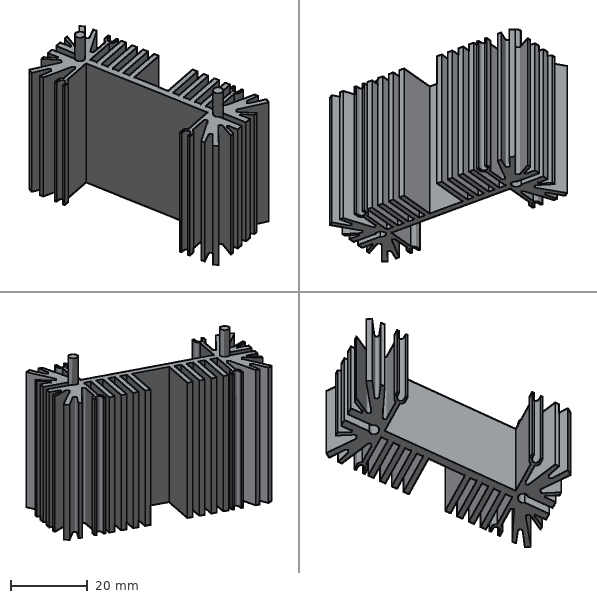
import cadquery as cq
import math

body_width = 59.94
body_depth = 24.89
body_height = 38.61
half_width = body_width / 2
half_depth = body_depth / 2

web_thickness = 2.06
fin_thickness = 1.57
fin_pitch = 3.44
fins_per_side = 4
first_fin_x = 6.10

stem_x = 19.75
stem_thickness = 1.16
stem_inner_x = stem_x - stem_thickness / 2
stem_outer_x = stem_x + stem_thickness / 2

fork_width = 3.16
fork_base_y = 9.59
fork_slot_width = 2.0
fork_slot_floor_y = 10.48

pin_x = 21.82
pin_diameter = 2.68
pin_length = 15.24
pin_exposed = 7.62
side_slot_width = 1.87

slender_fin_inner_tip = (24.93, half_depth)
slender_fin_outer_tip = (26.05, half_depth)
thick_fin_inner_tip = (28.60, half_depth)
thick_fin_outer_tip = (half_width, 11.60)
thin_fin_upper_tip = (half_width, 6.03)
thin_fin_lower_tip = (half_width, 4.91)
flat_fin_top_y = 2.83
small_notch_x = 26.80
small_notch_top_y = 3.32

stem_notch_radius = 0.56
stem_notch_centre = (stem_outer_x + stem_notch_radius, 4.50)
upper_notch_radius = 0.60
upper_notch_centre = (25.48, 8.88)
side_notch_radius = 0.66
side_notch_centre = (25.50, 4.23)


def tangent_point(tip, centre, radius, side):
    """Point where a line from tip touches a circle; side is +1 or -1 and picks the line."""
    dx = tip[0] - centre[0]
    dy = tip[1] - centre[1]
    angle = math.atan2(dy, dx) + side * math.acos(radius / math.hypot(dx, dy))
    return (centre[0] + radius * math.cos(angle), centre[1] + radius * math.sin(angle))


def cut_notch(outline, first_tip, last_tip, centre, radius):
    """Continue the outline from first_tip round the notch floor to last_tip."""
    start = tangent_point(first_tip, centre, radius, 1)
    end = tangent_point(last_tip, centre, radius, -1)
    start_angle = math.atan2(start[1] - centre[1], start[0] - centre[0])
    end_angle = math.atan2(end[1] - centre[1], end[0] - centre[0])
    sweep = (end_angle - start_angle) % math.tau
    middle_angle = start_angle + sweep / 2
    middle = (
        centre[0] + radius * math.cos(middle_angle),
        centre[1] + radius * math.sin(middle_angle),
    )
    return outline.lineTo(*start).threePointArc(middle, end).lineTo(*last_tip)


def corner_quarter():
    """Thin wall and fan of corner fins in the x > 0, y > 0 quarter."""
    stem_outer_end = (stem_outer_x, fork_slot_floor_y)
    outline = cq.Workplane("XY").moveTo(stem_inner_x, 0)
    outline = outline.lineTo(stem_inner_x, fork_slot_floor_y).lineTo(*stem_outer_end)
    outline = cut_notch(
        outline, stem_outer_end, slender_fin_inner_tip, stem_notch_centre, stem_notch_radius
    )
    outline = outline.lineTo(*slender_fin_outer_tip)
    outline = cut_notch(
        outline, slender_fin_outer_tip, thick_fin_inner_tip, upper_notch_centre, upper_notch_radius
    )
    outline = outline.lineTo(*thick_fin_outer_tip)
    outline = cut_notch(
        outline, thick_fin_outer_tip, thin_fin_upper_tip, side_notch_centre, side_notch_radius
    )
    outline = (
        outline.lineTo(*thin_fin_lower_tip)
        .lineTo(small_notch_x, small_notch_top_y)
        .lineTo(small_notch_x, flat_fin_top_y)
        .lineTo(half_width, flat_fin_top_y)
        .lineTo(half_width, side_slot_width / 2)
        .lineTo(pin_x, side_slot_width / 2)
        .lineTo(pin_x, 0)
        .close()
    )
    return outline.extrude(body_height)


def round_ended_block(width, base_y):
    """Block from base_y to the outer face, ending in a half circle at base_y."""
    radius = width / 2
    centre_y = base_y + radius
    return (
        cq.Workplane("XY")
        .moveTo(stem_x - radius, half_depth)
        .lineTo(stem_x - radius, centre_y)
        .threePointArc((stem_x, base_y), (stem_x + radius, centre_y))
        .lineTo(stem_x + radius, half_depth)
        .close()
        .extrude(body_height)
    )


def fork():
    """U-shaped fork at the end of the thin wall in the x > 0, y > 0 quarter."""
    slot = round_ended_block(fork_slot_width, fork_slot_floor_y)
    return round_ended_block(fork_width, fork_base_y).cut(slot)


def web():
    """Central plate joining the two ends."""
    return cq.Workplane("XY").box(
        2 * stem_x, web_thickness, body_height, centered=(True, True, False)
    )


def straight_fins():
    """Two groups of parallel fins standing on the back of the web."""
    offsets = [first_fin_x + i * fin_pitch for i in range(fins_per_side)]
    centres = [(side * offset, half_depth / 2) for side in (-1, 1) for offset in offsets]
    return (
        cq.Workplane("XY").pushPoints(centres).rect(fin_thickness, half_depth).extrude(body_height)
    )


def pin_cylinders(bottom_z, length):
    """Pair of cylinders on the pin axes."""
    return (
        cq.Workplane("XY", origin=(0, 0, bottom_z))
        .pushPoints([(-pin_x, 0), (pin_x, 0)])
        .circle(pin_diameter / 2)
        .extrude(length)
    )


quarter = corner_quarter().union(fork())
end_piece = quarter.union(quarter.mirror("XZ"))
body = web().union(straight_fins()).union(end_piece).union(end_piece.mirror("YZ"))
body = body.cut(pin_cylinders(0, body_height))

pin_bottom_z = body_height + pin_exposed - pin_length
result = body.union(pin_cylinders(pin_bottom_z, pin_length))